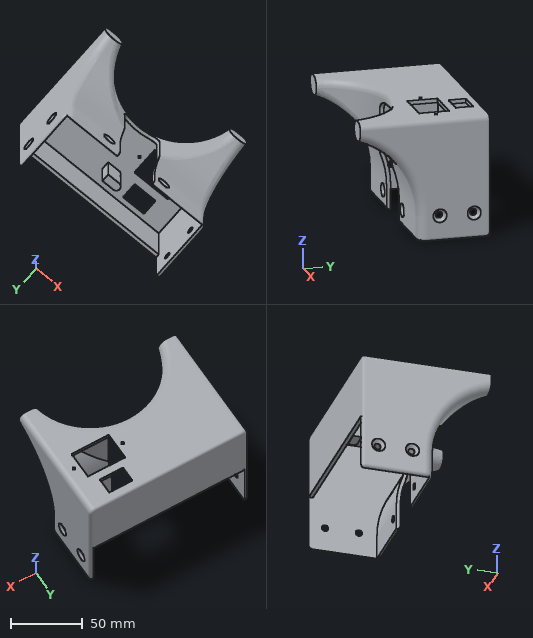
import cadquery as cq

width = 130.0
depth = 94.6
height = 90.0

wall = 3.0

front_wall_y = -52.9
ramp_radius = 60.0
ramp_start_z = 18.3
arch_radius = 50.0
arch_apex_y = -55.4
ramp_axis_y = front_wall_y - ramp_radius
arch_axis_y = arch_apex_y - arch_radius

front_round = 7.0
top_side_round = 5.0
back_round = 2.5

tip_length = 19.4
back_opening_height = 40.8

slot_width = 32.0
slot_top_z = 80.2
slot_corner_radius = 6.8

switch_size = (19.0, 12.5)
switch_center = (35.4, -13.4)
socket_size = (30.4, 21.8)
socket_center = (35.4, -37.0)
socket_screw_spacing = 40.0
socket_screw_diameter = 2.0

screw_diameter = 4.5
screw_head_diameter = 9.8
front_screw_spacing = 50.0
front_screw_offset_x = -0.8
front_screw_z = 11.7
side_screw_depths = (12.0, 36.8)
side_screw_z = 18.3

tab_left_x = 1.2
tab_right_x = 14.3
tab_bottom_z = 60.3
tab_thickness = 6.2
tab_center_y = -16.9


def box(x_range, y_range, z_range):
    """Axis-aligned box between the given limits."""
    size = [high - low for low, high in (x_range, y_range, z_range)]
    corner = (x_range[0], y_range[0], z_range[0])
    return cq.Workplane("XY").box(*size, centered=False).translate(corner)


def ramp_cutter(offset):
    """Space in front of the ramp wall, grown backwards by an offset."""
    radius = ramp_radius + offset
    cylinder = (
        cq.Workplane("YZ", origin=(-width, 0, 0))
        .center(ramp_axis_y, ramp_start_z)
        .circle(radius)
        .extrude(2 * width)
    )
    below = box((-width, width), (ramp_axis_y - radius, front_wall_y + offset), (-height, ramp_start_z))
    return cylinder.union(below)


def arch_cutter(offset):
    """Vertical cylinder in front of the arched wall, grown by an offset."""
    return (
        cq.Workplane("XY", origin=(0, arch_axis_y, -height))
        .circle(arch_radius + offset)
        .extrude(3 * height)
    )


def outer_body():
    """Solid block with the concave front, all outer edges rounded."""
    half = width / 2
    body = box((-half, half), (-depth, 0), (0, height))
    body = body.cut(ramp_cutter(0)).cut(arch_cutter(0))

    upright_edges = cq.selectors.BoxSelector(
        (-width, front_wall_y - front_round, 0),
        (width, front_wall_y + front_round, ramp_start_z),
    )
    curved_edges = body.edges("%CIRCLE or %BSPLINE").vals()
    front_edges = body.edges("|Z").edges(upright_edges).vals() + curved_edges
    body = body.newObject(front_edges).fillet(front_round)

    body = body.faces(">Z").edges("|Y").fillet(top_side_round)
    return body.edges(">Y or <Z").fillet(back_round)


def cavity():
    """Hollow inside, open at the underside and through the lower part of the back wall."""
    half = width / 2 - wall
    space = box((-half, half), (tip_length - depth, -wall), (-height, height - wall))
    space = space.cut(ramp_cutter(wall)).cut(arch_cutter(wall))
    back_opening = box((-half, half), (-2 * wall, depth), (-height, back_opening_height))
    return space.union(back_opening)


def cable_slot():
    """Round-topped slot through the front wall, open at the underside."""
    half = slot_width / 2
    slot = box((-half, half), (-depth, front_wall_y + 2 * wall), (-height, slot_top_z))
    return slot.edges("|Y and >Z").fillet(slot_corner_radius)


def top_cutouts():
    """Switch window, socket window and the two socket screw holes."""
    panel = cq.Workplane("XY", origin=(0, 0, height - 2 * wall))
    cut_height = 3 * wall
    switch = panel.center(*switch_center).rect(*switch_size).extrude(cut_height)
    socket = panel.center(*socket_center).rect(*socket_size).extrude(cut_height)
    half_spacing = socket_screw_spacing / 2
    screws = (
        panel.center(*socket_center)
        .pushPoints([(-half_spacing, 0), (half_spacing, 0)])
        .circle(socket_screw_diameter / 2)
        .extrude(cut_height)
    )
    return switch.union(socket).union(screws)


def countersunk_screw(point, inward):
    """Screw hole with a 90 degree countersink, starting at an outer face."""
    head_radius = screw_head_diameter / 2
    shank_radius = screw_diameter / 2
    sink_depth = head_radius - shank_radius
    start = cq.Vector(*point)
    direction = cq.Vector(*inward)
    shank = cq.Solid.makeCylinder(shank_radius, 2 * wall, start, direction)
    sink = cq.Solid.makeCone(head_radius, shank_radius, sink_depth, start, direction)
    return cq.Workplane(shank).union(cq.Workplane(sink))


def hanging_tab():
    """Tab under the top panel with a square left end and a half-round right end."""
    half = tab_thickness / 2
    round_center_x = tab_right_x - half
    return (
        cq.Workplane("XY", origin=(0, tab_center_y, tab_bottom_z))
        .moveTo(tab_left_x, -half)
        .lineTo(round_center_x, -half)
        .threePointArc((tab_right_x, 0), (round_center_x, half))
        .lineTo(tab_left_x, half)
        .close()
        .extrude(height - wall / 2 - tab_bottom_z)
    )


result = outer_body().cut(cavity()).cut(cable_slot()).cut(top_cutouts())

for side in (-1, 1):
    front_screw_x = front_screw_offset_x + side * front_screw_spacing / 2
    result = result.cut(countersunk_screw((front_screw_x, front_wall_y, front_screw_z), (0, 1, 0)))
    for screw_depth in side_screw_depths:
        side_point = (side * width / 2, -screw_depth, side_screw_z)
        result = result.cut(countersunk_screw(side_point, (-side, 0, 0)))

result = result.union(hanging_tab())